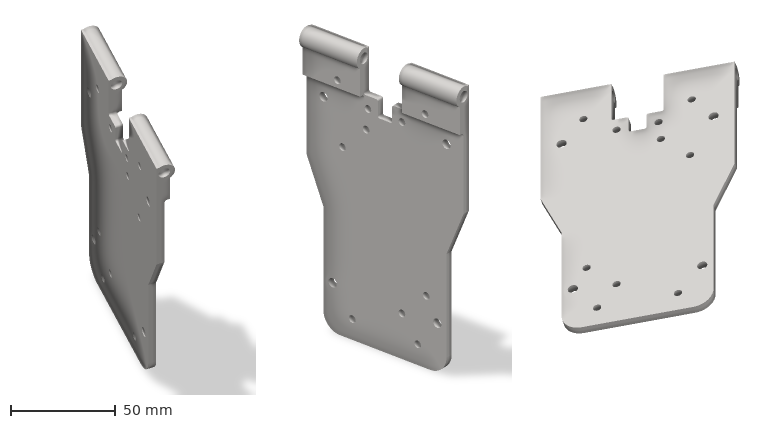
import cadquery as cq
import math

height = 162.2
width = 96.0
plate_thickness = 4.0
tail_width = 75.1
taper_bottom = 66.8
taper_top = 92.5
tail_corner_radius = 10.0

notch_width = 25.6
notch_floor = 137.0
slot_width = 8.8
slot_floor = 127.0
notch_fillet = 1.0

arm_thickness = 7.0
arm_fillet = 2.0
knuckle_radius = 5.5
pin_diameter = 6.0
knuckle_y = plate_thickness
knuckle_z = height - knuckle_radius
lip_depth = 1.3

small_diameter = 4.0
large_diameter = 5.0
small_pairs = [(26.8, 141.2), (10.4, 129.8), (20.0, 11.4)]
small_singles = [(11.5, 118.1), (26.0, 103.5), (-25.1, 39.8), (-10.4, 25.0)]
large_pairs = [(tail_width / 2, 127.0), (32.0, 27.1)]


def front_prism(sketch, depth):
    """Extrude an XZ sketch from the front face toward +Y."""
    return sketch.extrude(-depth)


def make_side_profile():
    """Extrude the plate, arm and knuckle section across the full width."""
    lip_z = knuckle_z + math.sqrt(knuckle_radius**2 - (knuckle_y - lip_depth) ** 2)
    arm_top = knuckle_z - math.sqrt(knuckle_radius**2 - (arm_thickness - knuckle_y) ** 2)
    return (
        cq.Workplane("YZ", origin=(-width / 2, 0, 0))
        .moveTo(0, 0)
        .lineTo(plate_thickness, 0)
        .lineTo(plate_thickness, notch_floor - arm_fillet)
        .radiusArc((plate_thickness + arm_fillet, notch_floor), arm_fillet)
        .lineTo(arm_thickness, notch_floor)
        .lineTo(arm_thickness, arm_top)
        .threePointArc((knuckle_y + knuckle_radius, knuckle_z), (knuckle_y, height))
        .radiusArc((lip_depth, lip_z), -knuckle_radius)
        .lineTo(0, lip_z)
        .close()
        .extrude(width)
    )


def make_outline():
    """Prism of the tapered front outline with a rounded tail."""
    half_width = width / 2
    half_tail = tail_width / 2
    sketch = cq.Workplane("XZ").polyline(
        [
            (-half_tail, 0),
            (half_tail, 0),
            (half_tail, taper_bottom),
            (half_width, taper_top),
            (half_width, height),
            (-half_width, height),
            (-half_width, taper_top),
            (-half_tail, taper_bottom),
        ]
    ).close()
    prism = front_prism(sketch, knuckle_y + knuckle_radius)
    return prism.edges("|Y and <Z").fillet(tail_corner_radius)


def make_notch():
    """Cutter for the wide notch and the narrow slot below it."""
    half_notch = notch_width / 2
    half_slot = slot_width / 2
    sketch = cq.Workplane("XZ").polyline(
        [
            (-half_notch, height),
            (-half_notch, notch_floor),
            (-half_slot, notch_floor),
            (-half_slot, slot_floor),
            (half_slot, slot_floor),
            (half_slot, notch_floor),
            (half_notch, notch_floor),
            (half_notch, height),
        ]
    ).close()
    prism = front_prism(sketch, knuckle_y + knuckle_radius)
    return prism.edges("|Y").edges("not >Z").fillet(notch_fillet)


def make_arm_gap():
    """Cutter that leaves only the bare plate behind the notch."""
    depth = knuckle_y + knuckle_radius - plate_thickness
    return cq.Workplane("XY").box(notch_width, depth, height, centered=(True, False, False)).translate(
        (0, plate_thickness, 0)
    )


def make_holes(centres, diameter):
    """Cylinders through the plate at the given centres."""
    depth = knuckle_y + knuckle_radius
    return front_prism(cq.Workplane("XZ").pushPoints(centres).circle(diameter / 2), depth)


def mirrored(pairs):
    """Centres on both sides of the middle plane."""
    return [(side * x, z) for x, z in pairs for side in (-1, 1)]


pin_bore = (
    cq.Workplane("YZ", origin=(-width / 2, 0, 0))
    .center(knuckle_y, knuckle_z)
    .circle(pin_diameter / 2)
    .extrude(width)
)

result = (
    make_side_profile()
    .intersect(make_outline())
    .cut(make_notch())
    .cut(make_arm_gap())
    .cut(pin_bore)
    .cut(make_holes(mirrored(small_pairs) + small_singles, small_diameter))
    .cut(make_holes(mirrored(large_pairs), large_diameter))
)